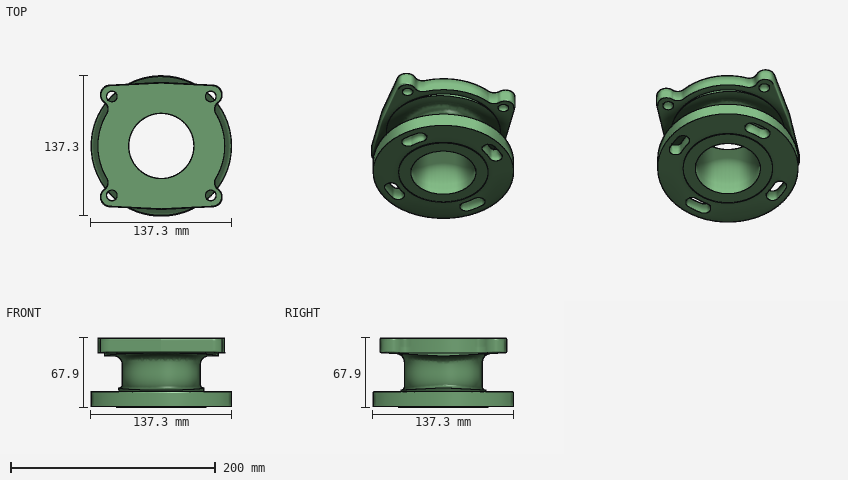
import cadquery as cq
import math

total_height = 67.86
bore_radius = 31.75
neck_radius = 38.2
draft = math.tan(math.radians(3))

base_radius = 68.66
raised_face_radius = 43.7
raised_face_height = 1.0
base_top = 15.6
base_ridge = 19.4
base_spot_radius = 41.6
base_edge_fillet = 2.0
base_neck_fillet = 3.0

slot_circle_radius = 55.9
slot_width = 12.7
slot_half_sweep = 7.0

plate_radius = 61.95
plate_bottom = 53.45
plate_under_ridge = 50.4
plate_top_ridge = 73.3
plate_spot_radius = 55.7
plate_top_fillet = 5.0
plate_bottom_fillet = 2.0
plate_neck_fillet = 8.0
ear_radius = 9.525
ear_center = 49.92
ear_blend_radius = 8.0
plate_hole_offset = 48.25
plate_hole_diameter = 10.3

corner_angles = (45, 135, 225, 315)
reach = 2 * base_radius
clearance = 1.0


def cylinder(radius, bottom, top):
    return cq.Workplane("XY").workplane(offset=bottom).circle(radius).extrude(top - bottom)


def ring(inner_radius, bottom, top):
    """Ring cutter reaching past the outside of the part."""
    return cylinder(reach, bottom, top).cut(cylinder(inner_radius, bottom, top))


def drafted_half_band(bottom_ridge, bottom_slope, top_ridge, top_slope):
    """Band at Y >= 0 whose lower and upper faces slope away from the parting plane."""
    profile = [
        (0, bottom_ridge),
        (reach, bottom_ridge + reach * bottom_slope),
        (reach, top_ridge + reach * top_slope),
        (0, top_ridge),
    ]
    return cq.Workplane("YZ").polyline(profile).close().extrude(reach, both=True)


def off_parting_plane():
    """Selects edges whose middle lies clear of the parting plane, so not the parting edge itself."""
    return cq.selectors.BoxSelector((-reach, clearance, 0), (reach, reach, reach))


def half_base():
    disc = cylinder(base_radius, raised_face_height, base_ridge)
    disc = disc.intersect(drafted_half_band(raised_face_height, 0, base_ridge, -draft))
    return disc.faces(">Z").edges(off_parting_plane()).fillet(base_edge_fillet)


def ear_outline_points():
    """Tangent points round the ear at +X +Y, from the plate's round side to its long side."""
    blend_reach = plate_radius + ear_blend_radius
    ear_reach = ear_radius + ear_blend_radius
    ear_distance = ear_center * math.sqrt(2)
    cosine = (blend_reach**2 + ear_distance**2 - ear_reach**2) / (2 * blend_reach * ear_distance)
    side_angle = math.pi / 4 - math.acos(cosine)
    blend_x = blend_reach * math.cos(side_angle)
    blend_y = blend_reach * math.sin(side_angle)
    toward_ear = math.atan2(ear_center - blend_y, ear_center - blend_x)
    toward_side = side_angle + math.pi
    blend_middle = (toward_ear + toward_side) / 2
    ear_start = toward_ear - math.pi
    ear_end = math.pi / 2 - math.atan(draft)
    ear_middle = (ear_start + ear_end) / 2

    def blend_point(angle):
        return (blend_x + ear_blend_radius * math.cos(angle), blend_y + ear_blend_radius * math.sin(angle))

    def ear_point(angle):
        return (ear_center + ear_radius * math.cos(angle), ear_center + ear_radius * math.sin(angle))

    return (
        blend_point(toward_side),
        blend_point(blend_middle),
        blend_point(toward_ear),
        ear_point(ear_middle),
        ear_point(ear_end),
    )


def half_plate():
    side, blend, joint, ear, tip = ear_outline_points()
    peak = tip[1] + tip[0] * draft
    round_middle_angle = math.atan2(side[1], side[0]) / 2
    round_middle = (
        plate_radius * math.cos(round_middle_angle),
        plate_radius * math.sin(round_middle_angle),
    )

    def left(point):
        return (-point[0], point[1])

    outline = (
        cq.Workplane("XY").workplane(offset=plate_under_ridge)
        .moveTo(plate_radius, 0)
        .threePointArc(round_middle, side)
        .threePointArc(blend, joint)
        .threePointArc(ear, tip)
        .lineTo(0, peak)
        .lineTo(*left(tip))
        .threePointArc(left(ear), left(joint))
        .threePointArc(left(blend), left(side))
        .threePointArc(left(round_middle), (-plate_radius, 0))
        .close()
    )
    plate = outline.extrude(plate_top_ridge - plate_under_ridge)
    plate = plate.intersect(drafted_half_band(plate_under_ridge, draft, plate_top_ridge, -draft))
    rim = off_parting_plane()
    plate = plate.faces(">Z").edges(rim).fillet(plate_top_fillet)
    return plate.faces("<Z").edges(rim).fillet(plate_bottom_fillet)


def half_casting():
    """The Y >= 0 half of the casting, up to the parting plane, before machining."""
    neck_band = drafted_half_band(0, 0, total_height, 0)
    neck = cylinder(neck_radius, raised_face_height, plate_bottom).intersect(neck_band)
    body = half_base().union(neck).union(half_plate())
    body = body.edges(neck_joint_at(base_ridge)).fillet(base_neck_fillet)
    return body.edges(neck_joint_at(plate_under_ridge)).fillet(plate_neck_fillet)


def neck_joint_at(height):
    """Selects the curved edge where the neck meets a cast face near the given height."""
    height_margin = 4
    half_width = neck_radius + clearance
    return cq.selectors.BoxSelector(
        (-half_width, clearance, height - height_margin),
        (half_width, half_width, height + height_margin),
    )


def machine_faces(body):
    """Flatten the top and the outer rings of the facing flange sides."""
    above_plate = cylinder(reach, total_height, plate_top_ridge + clearance)
    base_ring = ring(base_spot_radius, base_top, base_ridge + clearance)
    plate_ring = ring(plate_spot_radius, plate_under_ridge - clearance, plate_bottom)
    return body.cut(above_plate).cut(base_ring).cut(plate_ring)


def bolt_slots():
    inner_radius = slot_circle_radius - slot_width / 2
    outer_radius = slot_circle_radius + slot_width / 2

    def polar(radius, degrees):
        angle = math.radians(degrees)
        return (radius * math.cos(angle), radius * math.sin(angle))

    slots = cq.Workplane("XY")
    for middle in corner_angles:
        start = middle - slot_half_sweep
        end = middle + slot_half_sweep
        slot = (
            cq.Workplane("XY")
            .moveTo(*polar(inner_radius, start))
            .threePointArc(polar(inner_radius, middle), polar(inner_radius, end))
            .tangentArcPoint(polar(outer_radius, end), relative=False)
            .threePointArc(polar(outer_radius, middle), polar(outer_radius, start))
            .tangentArcPoint(polar(inner_radius, start), relative=False)
            .close()
            .extrude(base_ridge)
        )
        slots = slots.add(slot)
    return slots.combine()


def plate_holes():
    return (
        cq.Workplane("XY").workplane(offset=plate_under_ridge)
        .rect(2 * plate_hole_offset, 2 * plate_hole_offset, forConstruction=True)
        .vertices().circle(plate_hole_diameter / 2).extrude(total_height - plate_under_ridge)
    )


half = half_casting()
casting = half.union(half.mirror("XZ"))
casting = casting.union(cylinder(raised_face_radius, 0, raised_face_height))
result = machine_faces(casting)
result = result.cut(bolt_slots()).cut(plate_holes())
result = result.cut(cylinder(bore_radius, 0, total_height))